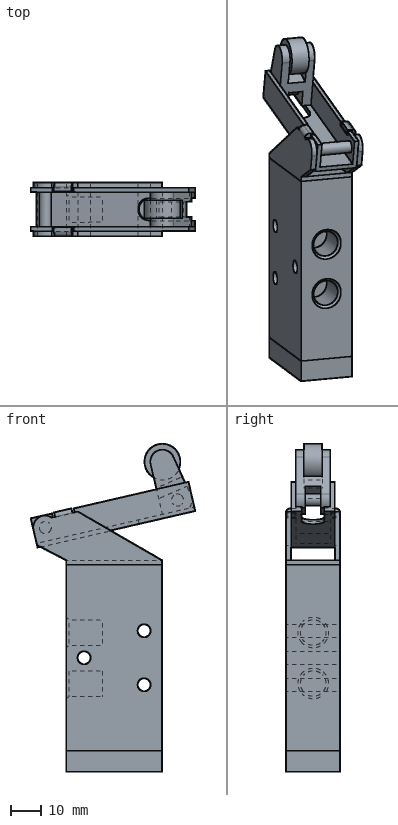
import cadquery as cq
import math

block_length = 32.0
block_width = 18.0
cap_height = 7.0
body_height = 62.0
body_top = cap_height + body_height

mount_hole_diameter = 4.25
mount_hole_x = 10.0
mount_hole_rise = 9.0
port_diameter = 8.5
port_mouth_diameter = 10.2
port_chamfer = (port_mouth_diameter - port_diameter) / 2
port_rise = 8.5
port_depth = 12.0

plate_height = 1.5
plate_top = body_top + plate_height
cheek_slope = 30.0
cheek_round = 3.9
cheek_left_depth = 9.25

lever_angle = 13.0
lever_length = 54.0
lever_height = 10.0
lever_width = 14.5
lever_inner_width = 11.5
lever_floor = 1.5
floor_level = lever_floor - lever_height
pin_diameter = 4.0
pivot_along = 4.0
pivot_drop = 4.0
pivot_x = -23.0
pivot_z = 81.48

tab_along = 11.0
tab_length = 6.0
tab_inner_y = 6.0
tab_rise = 0.2
tab_round = 1.5
notch_length = 7.4
notch_depth = 1.35

opening_width = 7.5
opening_center = 38.5

roller_diameter = 12.0
roller_width = 6.0
roller_along = 47.0
roller_rise = 8.5
fork_round = 4.0
fork_left = roller_along - fork_round
fork_base_round = 4.75
bridge_slope = 10.5
bridge_top_rise = 0.5
bridge_bottom_rise = -3.1
leg_gap = 5.0
cross_pin_along = lever_length - lever_height / 2
cross_pin_drop = lever_height / 2

tilt = math.radians(lever_angle)
lever_x = pivot_x - pivot_along * math.cos(tilt) - pivot_drop * math.sin(tilt)
lever_z = pivot_z - pivot_along * math.sin(tilt) + pivot_drop * math.cos(tilt)


def place_lever(shape):
    """Tilt a shape from the lever's own axes and move it into place."""
    return shape.rotate((0, 0, 0), (0, 1, 0), -lever_angle).translate((lever_x, 0, lever_z))


def lever_point(along, rise):
    """Global (x, z) of a point given in the lever's own axes."""
    x = lever_x + along * math.cos(tilt) - rise * math.sin(tilt)
    z = lever_z + along * math.sin(tilt) + rise * math.cos(tilt)
    return x, z


def slab(outline, y_low, y_high):
    """Solid from a closed XZ outline, filling y_low to y_high."""
    return outline.extrude(y_high - y_low).translate((0, y_high, 0))


def centered_slab(outline, width):
    return slab(outline, -width / 2, width / 2)


def box_between(x_range, y_range, z_range):
    """Box filling the three given (low, high) ranges."""
    size = [high - low for low, high in (x_range, y_range, z_range)]
    corner = (x_range[0], y_range[0], z_range[0])
    return cq.Workplane("XY").box(*size, centered=False).translate(corner)


def cylinder_y(along, rise, diameter, width):
    """Cylinder along Y, centred on y = 0."""
    return centered_slab(cq.Workplane("XZ").center(along, rise).circle(diameter / 2), width)


def make_cap():
    return cq.Workplane("XY").box(block_length, block_width, cap_height, centered=(True, True, False))


def make_body():
    body = (
        cq.Workplane("XY")
        .workplane(offset=cap_height)
        .box(block_length, block_width, body_height, centered=(True, True, False))
    )
    middle = cap_height + body_height / 2
    mount_points = [
        (-mount_hole_x, middle),
        (mount_hole_x, middle + mount_hole_rise),
        (mount_hole_x, middle - mount_hole_rise),
    ]
    for x, z in mount_points:
        body = body.cut(cylinder_y(x, z, mount_hole_diameter, block_width))
    for z in (middle - port_rise, middle + port_rise):
        port = (
            cq.Workplane("YZ")
            .workplane(offset=-block_length / 2)
            .center(0, z)
            .circle(port_diameter / 2)
            .extrude(port_depth)
        )
        mouth = cq.Workplane(
            cq.Solid.makeCone(
                port_mouth_diameter / 2,
                port_diameter / 2,
                port_chamfer,
                cq.Vector(-block_length / 2, 0, z),
                cq.Vector(1, 0, 0),
            )
        )
        body = body.cut(port).cut(mouth)
    return body


def make_cheek(y_low, y_high):
    """Side plate rising from the base plate to the lever pivot, round at its top left corner."""
    half = block_length / 2
    slope = math.tan(math.radians(cheek_slope))
    floor_x, floor_z = lever_point(0, -notch_depth)
    rise = math.tan(tilt)
    peak_x = (plate_top + half * slope - floor_z + floor_x * rise) / (rise + slope)
    peak_z = plate_top + (half - peak_x) * slope
    left_edge = pivot_along - cheek_round
    round_end = pivot_along + math.sqrt(cheek_round**2 - (pivot_drop - notch_depth) ** 2)
    outline = (
        cq.Workplane("XZ")
        .moveTo(-half, body_top)
        .lineTo(half, body_top)
        .lineTo(half, plate_top)
        .lineTo(peak_x, peak_z)
        .lineTo(*lever_point(round_end, -notch_depth))
        .threePointArc(
            lever_point(pivot_along, cheek_round - pivot_drop),
            lever_point(left_edge, -pivot_drop),
        )
        .lineTo(*lever_point(left_edge, -cheek_left_depth))
        .lineTo(-half, plate_top)
        .close()
    )
    return slab(outline, y_low, y_high)


def make_tab():
    """Tab at the +Y cheek, in the lever's own axes, round along its outer top edge."""
    tab = box_between(
        (tab_along - tab_length / 2, tab_along + tab_length / 2),
        (tab_inner_y, block_width / 2),
        (-notch_depth, tab_rise),
    )
    return tab.edges(">Y and >Z").fillet(tab_round)


def make_lever():
    """Channel with its open side up, in the lever's own axes."""
    lever = box_between((0, lever_length), (-lever_width / 2, lever_width / 2), (-lever_height, 0))
    half_inner = lever_inner_width / 2
    lever = lever.cut(box_between((0, lever_length), (-half_inner, half_inner), (floor_level, 0)))
    notch = box_between(
        (tab_along - notch_length / 2, tab_along + notch_length / 2),
        (-lever_width / 2, lever_width / 2),
        (-notch_depth, 0),
    )
    half_opening = opening_width / 2
    opening = (
        cq.Workplane("XY")
        .workplane(offset=-lever_height)
        .moveTo(lever_length, -half_opening)
        .lineTo(opening_center, -half_opening)
        .threePointArc((opening_center - half_opening, 0), (opening_center, half_opening))
        .lineTo(lever_length, half_opening)
        .close()
        .extrude(lever_floor)
    )
    return lever.cut(notch).cut(opening)


def make_fork():
    """Fork with a gap for the roller above its bridge and a gap between its legs below."""
    run = cross_pin_along - roller_along
    drop = roller_rise + cross_pin_drop
    lean = math.atan2(run, drop) + math.asin((fork_base_round - fork_round) / math.hypot(run, drop))
    upper_tangent = (
        roller_along + fork_round * math.cos(lean),
        roller_rise + fork_round * math.sin(lean),
    )
    lower_tangent = (
        cross_pin_along + fork_base_round * math.cos(lean),
        -cross_pin_drop + fork_base_round * math.sin(lean),
    )
    fork_right = cross_pin_along + fork_base_round
    base_end = cross_pin_along + math.sqrt(fork_base_round**2 - (floor_level + cross_pin_drop) ** 2)
    outline = (
        cq.Workplane("XZ")
        .moveTo(fork_left, floor_level)
        .lineTo(base_end, floor_level)
        .threePointArc((fork_right, -cross_pin_drop), lower_tangent)
        .lineTo(*upper_tangent)
        .threePointArc((roller_along, roller_rise + fork_round), (fork_left, roller_rise))
        .close()
    )
    fork = centered_slab(outline, lever_inner_width)

    bridge_climb = (fork_right - fork_left) * math.tan(math.radians(bridge_slope))
    fork_top = roller_rise + fork_round
    roller_gap = (
        cq.Workplane("XZ")
        .moveTo(fork_left, bridge_top_rise)
        .lineTo(fork_right, bridge_top_rise + bridge_climb)
        .lineTo(fork_right, fork_top)
        .lineTo(fork_left, fork_top)
        .close()
    )
    lower_gap = (
        cq.Workplane("XZ")
        .moveTo(fork_left, floor_level)
        .lineTo(fork_right, floor_level)
        .lineTo(fork_right, bridge_bottom_rise + bridge_climb)
        .lineTo(fork_left, bridge_bottom_rise)
        .close()
    )
    return fork.cut(centered_slab(roller_gap, roller_width)).cut(centered_slab(lower_gap, leg_gap))


def make_actuator():
    """Base plate, cheeks, lever, fork, roller and pins as one solid."""
    actuator = (
        cq.Workplane("XY")
        .workplane(offset=body_top)
        .box(block_length, block_width, plate_height, centered=(True, True, False))
    )
    cheek_inner = lever_width / 2
    cheek_outer = block_width / 2
    actuator = actuator.union(make_cheek(-cheek_outer, -cheek_inner))
    actuator = actuator.union(make_cheek(cheek_inner, cheek_outer))
    lever_parts = [
        make_lever(),
        make_fork(),
        cylinder_y(roller_along, roller_rise, roller_diameter, roller_width),
        cylinder_y(pivot_along, -pivot_drop, pin_diameter, lever_inner_width),
        cylinder_y(cross_pin_along, -cross_pin_drop, pin_diameter, lever_inner_width),
        make_tab(),
        make_tab().mirror("XZ"),
    ]
    for part in lever_parts:
        actuator = actuator.union(place_lever(part))
    return actuator


cap = make_cap()
body = make_body()
actuator = make_actuator()

result = cq.Compound.makeCompound([cap.val(), body.val(), *actuator.vals()])